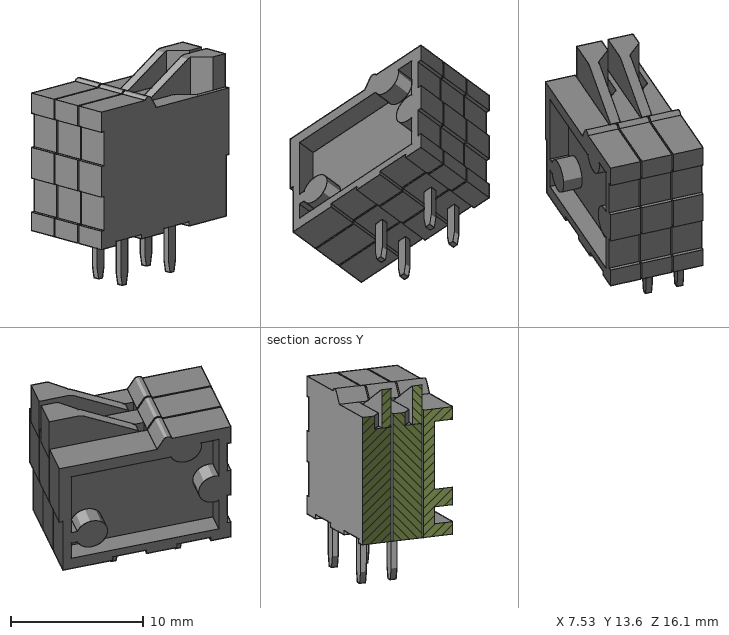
import cadquery as cq
import math


PITCH = 2.55
SECTION_WIDTH = 2.43
MODULE_COUNT = 2

DEPTH = 13.6
FRONT_TOP = 10.8
REAR_TOP = 10.01
REAR_STEP_HEIGHT = 4.78
REAR_STEP_DEPTH = 0.29

RIDGE_FOOT_Y = 5.86
RIDGE_CENTER_Y = 5.0
RIDGE_RADIUS = 0.37
RIDGE_TOP = 11.03
RIDGE_CENTER_Z = RIDGE_TOP - RIDGE_RADIUS

GROOVE_PITCH = 5.09
GROOVE_WIDTH = 2.67
GROOVE_MARGIN = 1.6
FRONT_GROOVE_DEPTH = 0.29
BOTTOM_GROOVE_DEPTH = 0.34

POCKET_DEPTH = 1.5
WALL = 0.97
POCKET_ROOF = 1.01
POCKET_FLOOR = 1.01
BOSS_RADIUS = 1.25
REAR_BOSS_Y = 11.03
REAR_BOSS_Z = 3.01
FRONT_BOSS_Y = 1.3
FRONT_BOSS_Z = 5.0
TOP_BOSS_Y = 3.59
TOP_BOSS_Z = 9.5
NECK_HEIGHT = 1.03

LEVER_TOP = 12.62
LEVER_WIDTH = 2.03
ARM_WIDTH = 0.8
LEVER_SHOULDER_Y = 12.3
LEVER_SLOPE = math.radians(30)
LEVER_FOOT_Y = 6.54
LEVER_CORNER_RADIUS = 1.0
SLOT_SHOULDER_Y = 10.61
SLOT_DEPTH = 1.01
SLOT_FLOOR = REAR_TOP - SLOT_DEPTH

PIN_LENGTH_BELOW = 3.48
PIN_WIDTH = 0.74
PIN_TIP_WIDTH = 0.42
PIN_TAPER_LENGTH = 0.9
PIN_THICKNESS = 0.5
PIN_OFFSET_X = 1.37
FRONT_PIN_Y = 3.0


def box(x_range, y_range, z_range):
    """Axis-aligned box between the given limits."""
    (x0, x1), (y0, y1), (z0, z1) = x_range, y_range, z_range
    return cq.Workplane("XY").box(x1 - x0, y1 - y0, z1 - z0, centered=False).translate((x0, y0, z0))


def ridge_point(angle):
    """Point on the ridge arc; the angle is measured from +Y towards +Z."""
    return (
        RIDGE_CENTER_Y + RIDGE_RADIUS * math.cos(angle),
        RIDGE_CENTER_Z + RIDGE_RADIUS * math.sin(angle),
    )


def ridge_tangent_angle():
    """Angle at which the line from the ridge foot touches the ridge arc."""
    dy = RIDGE_FOOT_Y - RIDGE_CENTER_Y
    dz = REAR_TOP - RIDGE_CENTER_Z
    return math.atan2(dz, dy) + math.acos(RIDGE_RADIUS / math.hypot(dy, dz))


def section_block():
    """Full-width section with the ridge, the rear step and the grooves."""
    rear_face = DEPTH - REAR_STEP_DEPTH
    ridge_end_angle = math.pi - math.asin((FRONT_TOP - RIDGE_CENTER_Z) / RIDGE_RADIUS)
    block = (
        cq.Workplane("YZ")
        .moveTo(0, 0)
        .lineTo(rear_face, 0)
        .lineTo(rear_face, REAR_STEP_HEIGHT)
        .lineTo(DEPTH, REAR_STEP_HEIGHT)
        .lineTo(DEPTH, REAR_TOP)
        .lineTo(RIDGE_FOOT_Y, REAR_TOP)
        .lineTo(*ridge_point(ridge_tangent_angle()))
        .threePointArc((RIDGE_CENTER_Y, RIDGE_TOP), ridge_point(ridge_end_angle))
        .lineTo(0, FRONT_TOP)
        .close()
        .extrude(SECTION_WIDTH)
    )
    full_width = (0, SECTION_WIDTH)
    for index in range(2):
        near = GROOVE_MARGIN + index * GROOVE_PITCH
        far = near + GROOVE_WIDTH
        block = block.cut(box(full_width, (near, far), (0, BOTTOM_GROOVE_DEPTH)))
        block = block.cut(box(full_width, (0, FRONT_GROOVE_DEPTH), (FRONT_TOP - far, FRONT_TOP - near)))
    return block


def pocket():
    """Hollow of the end plate: a stepped rectangle around three round bosses."""
    rear_wall = DEPTH - WALL
    depth_range = (0, POCKET_DEPTH)
    hollow = (
        cq.Workplane("YZ")
        .moveTo(WALL, POCKET_FLOOR)
        .lineTo(rear_wall, POCKET_FLOOR)
        .lineTo(rear_wall, REAR_TOP - POCKET_ROOF)
        .lineTo(TOP_BOSS_Y, REAR_TOP - POCKET_ROOF)
        .lineTo(TOP_BOSS_Y, FRONT_TOP - POCKET_ROOF)
        .lineTo(WALL, FRONT_TOP - POCKET_ROOF)
        .close()
        .extrude(POCKET_DEPTH)
    )
    boss_centers = [
        (REAR_BOSS_Y, REAR_BOSS_Z),
        (FRONT_BOSS_Y, FRONT_BOSS_Z),
        (TOP_BOSS_Y, TOP_BOSS_Z),
    ]
    bosses = cq.Workplane("YZ").pushPoints(boss_centers).circle(BOSS_RADIUS).extrude(POCKET_DEPTH)
    neck_bottom = REAR_BOSS_Z - NECK_HEIGHT / 2
    neck = box(depth_range, (REAR_BOSS_Y, rear_wall), (neck_bottom, neck_bottom + NECK_HEIGHT))
    return hollow.cut(bosses).cut(neck)


def lever_plan(shoulder_y, tip_y, bottom, top):
    """Wide rear head narrowing at 45 degrees to a slim arm that reaches forward to tip_y."""
    outline = [
        (0, DEPTH),
        (LEVER_WIDTH, DEPTH),
        (LEVER_WIDTH, shoulder_y),
        (ARM_WIDTH, shoulder_y - (LEVER_WIDTH - ARM_WIDTH)),
        (ARM_WIDTH, tip_y),
        (0, tip_y),
    ]
    return cq.Workplane("XY").workplane(offset=bottom).polyline(outline).close().extrude(top - bottom)


def make_end_plate():
    return section_block().cut(pocket())


def make_module_housing():
    """Solid section with the lever slot, open at the top, at the rear and on the -X side."""
    return section_block().cut(lever_plan(SLOT_SHOULDER_Y, RIDGE_FOOT_Y, SLOT_FLOOR, REAR_TOP))


def make_lever():
    """Lever standing on the slot floor, sloping down from a rounded corner to its upright tip."""
    corner_y = LEVER_FOOT_Y + (LEVER_TOP - REAR_TOP) / math.tan(LEVER_SLOPE)
    tangent = LEVER_CORNER_RADIUS * math.tan(LEVER_SLOPE / 2)
    arc_center_y = corner_y + tangent
    arc_center_z = LEVER_TOP - LEVER_CORNER_RADIUS

    def corner_point(angle):
        """Point on the rounded corner, at an angle turned forward from vertical."""
        return (
            arc_center_y - LEVER_CORNER_RADIUS * math.sin(angle),
            arc_center_z + LEVER_CORNER_RADIUS * math.cos(angle),
        )

    side = (
        cq.Workplane("YZ")
        .moveTo(DEPTH, SLOT_FLOOR)
        .lineTo(DEPTH, LEVER_TOP)
        .lineTo(*corner_point(0))
        .threePointArc(corner_point(LEVER_SLOPE / 2), corner_point(LEVER_SLOPE))
        .lineTo(LEVER_FOOT_Y, REAR_TOP)
        .lineTo(LEVER_FOOT_Y, SLOT_FLOOR)
        .close()
        .extrude(LEVER_WIDTH)
    )
    return side.intersect(lever_plan(LEVER_SHOULDER_Y, LEVER_FOOT_Y, SLOT_FLOOR, LEVER_TOP))


def make_pin(center_y):
    """Flat pin hanging from the roof of an underside groove, tapered at its end."""
    taper_z = PIN_TAPER_LENGTH - PIN_LENGTH_BELOW
    outline = [
        (center_y - PIN_WIDTH / 2, BOTTOM_GROOVE_DEPTH),
        (center_y + PIN_WIDTH / 2, BOTTOM_GROOVE_DEPTH),
        (center_y + PIN_WIDTH / 2, taper_z),
        (center_y + PIN_TIP_WIDTH / 2, -PIN_LENGTH_BELOW),
        (center_y - PIN_TIP_WIDTH / 2, -PIN_LENGTH_BELOW),
        (center_y - PIN_WIDTH / 2, taper_z),
    ]
    pin = cq.Workplane("YZ").polyline(outline).close().extrude(PIN_THICKNESS)
    return pin.translate((PIN_OFFSET_X, 0, 0))


end_plate = make_end_plate()
housings = []
levers = []
pins = []
for module in range(1, MODULE_COUNT + 1):
    module_shift = (module * PITCH, 0, 0)
    housings.append(make_module_housing().translate(module_shift).val())
    levers.append(make_lever().translate(module_shift).val())
    for pin_y in (FRONT_PIN_Y, FRONT_PIN_Y + GROOVE_PITCH):
        pins.append(make_pin(pin_y).translate(module_shift).val())

result = cq.Compound.makeCompound([end_plate.val(), *housings, *levers, *pins])